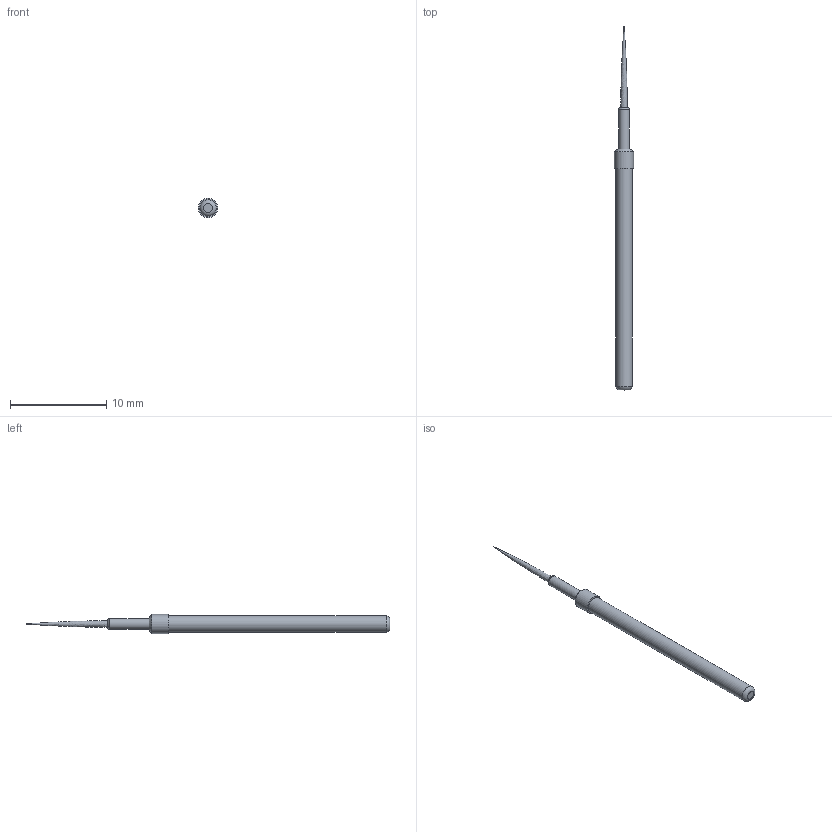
import cadquery as cq

total_length = 37.8
collar_diameter = 2.0

handle_diameter = 1.7
handle_length = 23.0
handle_end_fillet = 0.4

collar_length = 2.0
collar_chamfer = 0.25

shank_diameter = 1.1
shank_length = 4.3
shank_end_fillet = 0.2

needle_base_diameter = shank_diameter - 2 * shank_end_fillet
needle_tip_diameter = 0.03
needle_bulge = 0.07

collar_start = handle_length
collar_end = collar_start + collar_length
shank_end = collar_end + shank_length
needle_length = total_length - shank_end


def cylinder(diameter, start, length):
    """Rod on the Y axis, running from start towards +Y."""
    plane = cq.Workplane("XZ", origin=(0, start, 0))
    return plane.circle(diameter / 2).extrude(-length)


def make_handle():
    rod = cylinder(handle_diameter, 0, handle_length)
    return rod.faces("<Y").edges().fillet(handle_end_fillet)


def make_collar():
    ring = cylinder(collar_diameter, collar_start, collar_length)
    return ring.faces(">Y").edges().chamfer(collar_chamfer)


def make_shank():
    rod = cylinder(shank_diameter, collar_end, shank_length)
    return rod.faces(">Y").edges().fillet(shank_end_fillet)


def make_needle():
    """Convex taper: an arc between base and tip, bowed outward from the straight cone."""
    base_radius = needle_base_diameter / 2
    tip_radius = needle_tip_diameter / 2
    middle_radius = (base_radius + tip_radius) / 2 + needle_bulge
    middle_station = shank_end + needle_length / 2
    profile = (
        cq.Workplane("XY")
        .moveTo(0, shank_end)
        .lineTo(base_radius, shank_end)
        .threePointArc((middle_radius, middle_station), (tip_radius, total_length))
        .lineTo(0, total_length)
        .close()
    )
    return profile.revolve(360, (0, 0, 0), (0, 1, 0))


result = make_handle().union(make_collar()).union(make_shank()).union(make_needle())